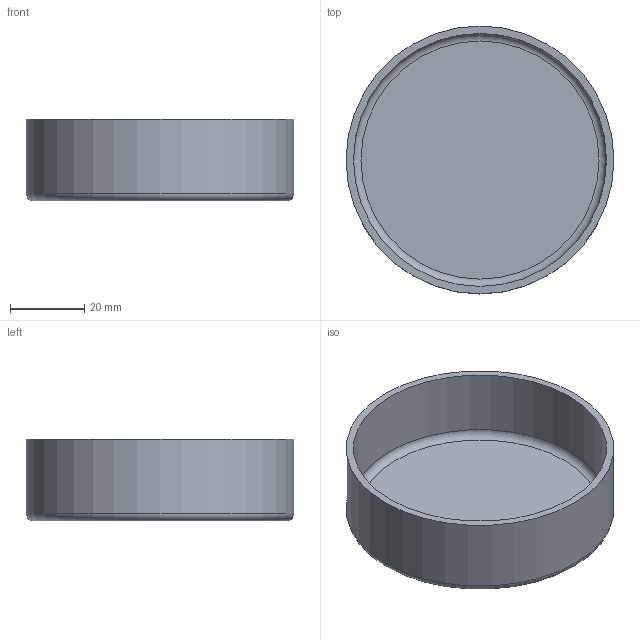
import cadquery as cq

outer_diameter = 72.15
height = 22.0
wall = 2.0
floor = 2.0
outer_fillet = 2.0
inner_fillet = 2.0

inner_diameter = outer_diameter - 2 * wall


def outer_body():
    """Solid disc with a rounded bottom edge."""
    disc = cq.Workplane("XY").circle(outer_diameter / 2).extrude(height)
    return disc.faces("<Z").edges().fillet(outer_fillet)


def cavity():
    """Space inside the cup, rounded where the wall meets the floor."""
    depth = height - floor
    plug = cq.Workplane("XY").workplane(offset=floor).circle(inner_diameter / 2).extrude(depth)
    return plug.faces("<Z").edges().fillet(inner_fillet)


result = outer_body().cut(cavity())